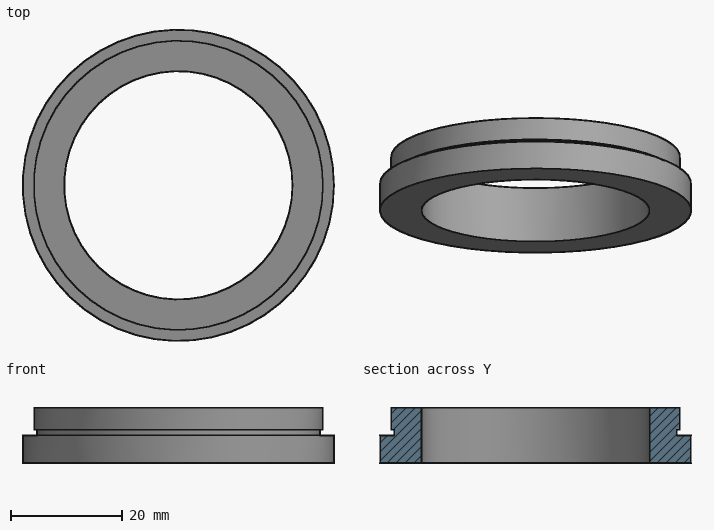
import cadquery as cq

flange_diameter = 56.0
spigot_diameter = 52.0
groove_diameter = 51.0
bore_diameter = 41.0

total_height = 10.0
flange_height = 5.0
groove_width = 1.0


def disc(diameter, bottom, height):
    """Solid disc on the Z axis, with its lower face at the given height."""
    return cq.Workplane("XY").workplane(offset=bottom).circle(diameter / 2).extrude(height)


spigot_bottom = flange_height + groove_width
flange = disc(flange_diameter, 0, flange_height)
neck = disc(groove_diameter, flange_height, groove_width)
spigot = disc(spigot_diameter, spigot_bottom, total_height - spigot_bottom)
bore = disc(bore_diameter, 0, total_height)

result = flange.union(neck).union(spigot).cut(bore)